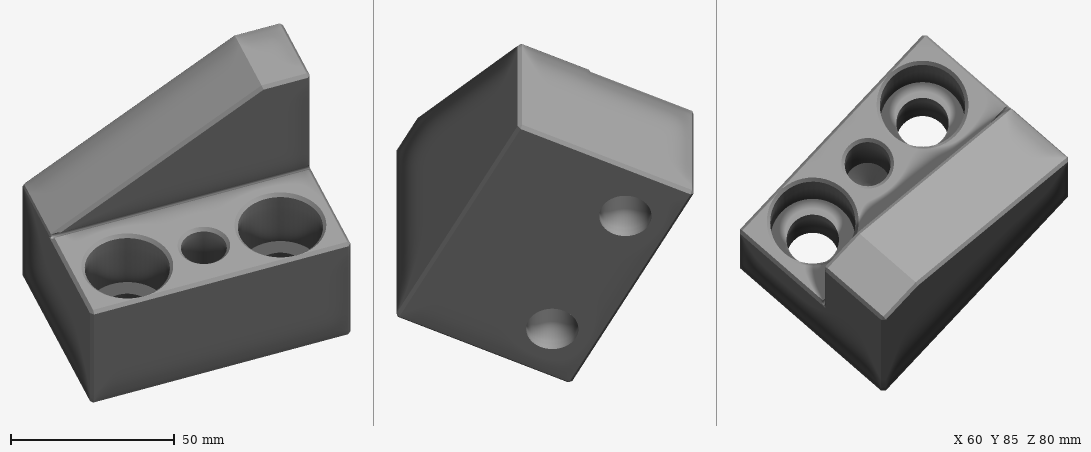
import cadquery as cq
import math

WIDTH = 60.0
LENGTH = 85.0
HEIGHT = 80.0
EDGE_CHAMFER = 1.0

WALL_THICKNESS = 25.0
LEDGE_HEIGHT = HEIGHT / 2
FRONT_BEVEL = 0.5
SLOPE_ANGLE = 30.0
SLOPE_RUN = (HEIGHT - LEDGE_HEIGHT) / math.tan(math.radians(SLOPE_ANGLE))
RELIEF_RADIUS = 0.8

HOLE_X = 45.0
BOLT_HOLE_SPACING = 50.0
BOLT_HOLE_DIAMETER = 16.0
COUNTERBORE_DIAMETER = 26.0
COUNTERBORE_DEPTH = 20.0
BLIND_HOLE_Y = LENGTH / 2
BLIND_HOLE_DIAMETER = 14.0
BLIND_HOLE_DEPTH = 23.8
DRILL_POINT_ANGLE = 118.0


def make_wall():
    """Full-height wall whose top slopes down to a small bevel at the front."""
    slope = math.radians(SLOPE_ANGLE)
    bevel_top_y = FRONT_BEVEL * math.cos(slope)
    bevel_top_z = LEDGE_HEIGHT + FRONT_BEVEL * math.sin(slope)
    return (
        cq.Workplane("YZ")
        .polyline([
            (0, 0),
            (LENGTH, 0),
            (LENGTH, HEIGHT),
            (SLOPE_RUN, HEIGHT),
            (bevel_top_y, bevel_top_z),
            (0, LEDGE_HEIGHT - FRONT_BEVEL),
        ])
        .close()
        .extrude(WALL_THICKNESS)
        .faces("<X or >X or >Y or <Z")
        .edges()
        .chamfer(EDGE_CHAMFER)
    )


def make_ledge():
    """Low block that runs under the wall and forms the ledge beside it."""
    return (
        cq.Workplane("XY")
        .box(WIDTH, LENGTH, LEDGE_HEIGHT, centered=False)
        .edges()
        .chamfer(EDGE_CHAMFER)
    )


def make_relief_groove():
    """Round groove along the inside corner between wall and ledge."""
    return (
        cq.Workplane("XZ", origin=(WALL_THICKNESS, 0, LEDGE_HEIGHT))
        .circle(RELIEF_RADIUS)
        .extrude(-LENGTH)
    )


def make_bore(y, diameter, depth, tip_depth=0.0):
    """Cutter for a hole sunk from the ledge, with a chamfered mouth and an optional conical tip."""
    radius = diameter / 2
    return (
        cq.Workplane("XZ")
        .moveTo(0, 0)
        .lineTo(radius + EDGE_CHAMFER, 0)
        .lineTo(radius, -EDGE_CHAMFER)
        .lineTo(radius, -depth)
        .lineTo(0, -depth - tip_depth)
        .close()
        .revolve(360, (0, 0, 0), (0, 1, 0))
        .translate((HOLE_X, y, LEDGE_HEIGHT))
    )


def make_bolt_hole(y):
    """Cutter for a counterbored through hole."""
    through = cq.Workplane("XY").circle(BOLT_HOLE_DIAMETER / 2).extrude(LEDGE_HEIGHT)
    return make_bore(y, COUNTERBORE_DIAMETER, COUNTERBORE_DEPTH).union(through.translate((HOLE_X, y, 0)))


def make_blind_hole():
    """Cutter for the drilled hole between the bolt holes."""
    tip_depth = BLIND_HOLE_DIAMETER / 2 / math.tan(math.radians(DRILL_POINT_ANGLE / 2))
    return make_bore(BLIND_HOLE_Y, BLIND_HOLE_DIAMETER, BLIND_HOLE_DEPTH, tip_depth)


result = make_wall().union(make_ledge()).cut(make_relief_groove())
for side in (-1, 1):
    result = result.cut(make_bolt_hole(BLIND_HOLE_Y + side * BOLT_HOLE_SPACING / 2))
result = result.cut(make_blind_hole())